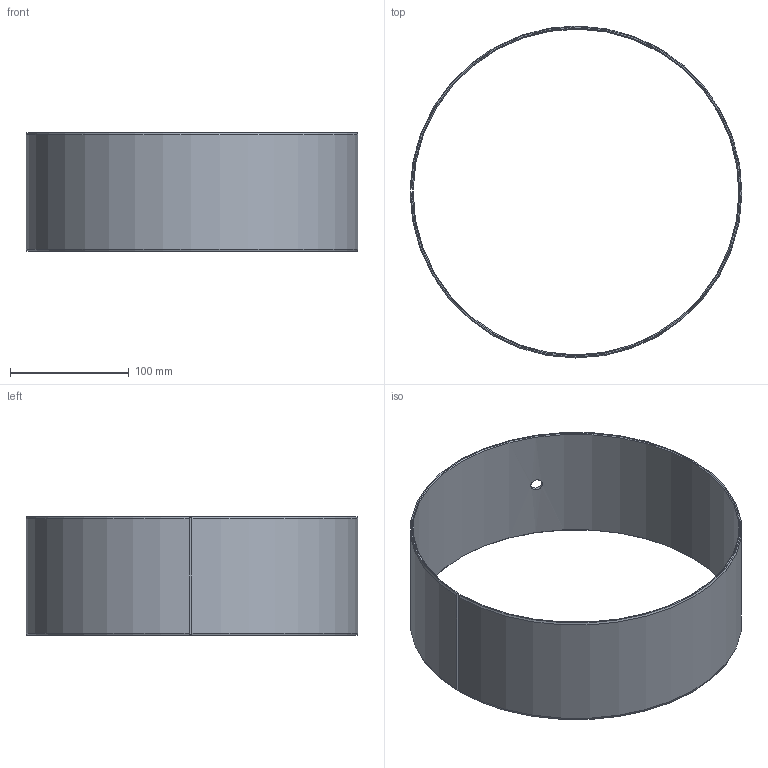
import cadquery as cq
import math

outer_diameter = 280.0
wall_thickness = 2.5
height = 100.0
outer_chamfer_height = 1.8
outer_chamfer_angle = 20.0
inner_chamfer = 0.8
gap_angle = 1.0
hole_diameter = 10.0
hole_angle = 59.0
hole_overshoot = 2.0

outer_radius = outer_diameter / 2
inner_radius = outer_radius - wall_thickness
half_height = height / 2
outer_chamfer_depth = outer_chamfer_height * math.tan(math.radians(outer_chamfer_angle))


def make_band():
    """Open ring: the wall section swept about Z from -X, stopping short by gap_angle."""
    outer_shoulder = half_height - outer_chamfer_height
    inner_shoulder = half_height - inner_chamfer
    outer_lip = outer_radius - outer_chamfer_depth
    inner_lip = inner_radius + inner_chamfer
    section = (
        cq.Workplane("XZ")
        .moveTo(-outer_radius, -outer_shoulder)
        .lineTo(-outer_radius, outer_shoulder)
        .lineTo(-outer_lip, half_height)
        .lineTo(-inner_lip, half_height)
        .lineTo(-inner_radius, inner_shoulder)
        .lineTo(-inner_radius, -inner_shoulder)
        .lineTo(-inner_lip, -half_height)
        .lineTo(-outer_lip, -half_height)
        .close()
    )
    return section.revolve(360 - gap_angle, (0, 0, 0), (0, 1, 0))


def make_radial_hole():
    """Cylinder that pierces the wall once at mid-height, pointing outward at hole_angle."""
    angle = math.radians(hole_angle)
    outward = cq.Vector(math.cos(angle), math.sin(angle), 0)
    start = outward * (inner_radius - hole_overshoot)
    return cq.Solid.makeCylinder(hole_diameter / 2, wall_thickness + 2 * hole_overshoot, start, outward)


result = make_band().cut(make_radial_hole())